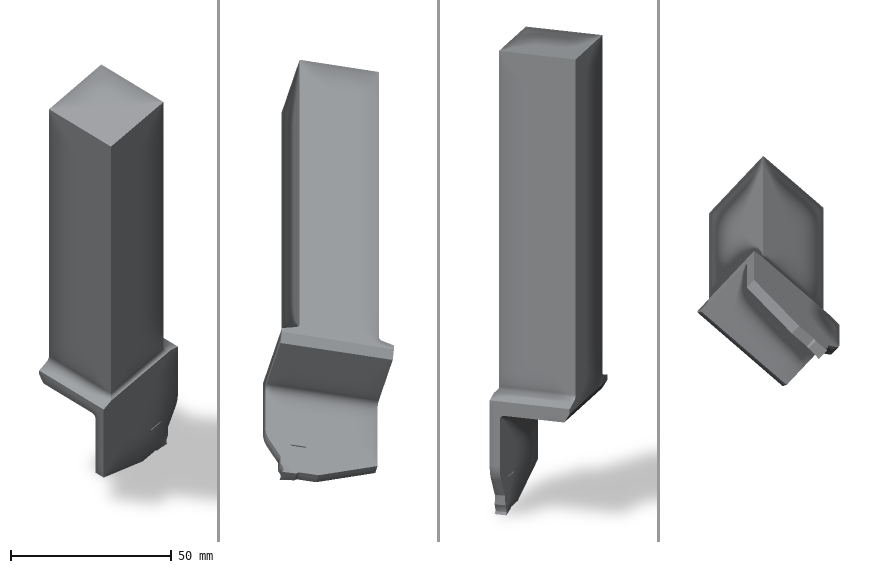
import cadquery as cq
import math


overall_x = 26.69
overall_length = 152.4
head_width = 35.9
half_head = head_width / 2

shank_size = 25.4
shank_back_y = 12.25
shank_front_y = shank_back_y - shank_size
flank_taper = 0.13

flange_bottom_z = 34.55
flange_edge_z = 39.15
roof_angle = math.radians(17)
root_radius = 1.65
chamfer_x = 1.85
chamfer_z = 3.12

inner_flare = 0.3
outer_flare = 0.22
head_x = overall_x - outer_flare
blade_thickness = 3.35
blade_x = head_x - blade_thickness
blade_bottom_z = 1.1
blade_flat_end_y = 1.0
blade_front_z = 8.7
blade_tip_y = 13.1
blade_tip_z = 6.6
blade_back_straight_z = 17.5
blade_back_round_mid = (17.65, 15.2)
blade_back_round_end = (16.9, 13.2)

insert_top_z = 11.8
insert_top_back_y = 9.8
insert_back_mid = (11.55, 9.2)
insert_back_end = (12.75, 6.2)
insert_corner_radius = 1.8
insert_front_top = (3.35, insert_top_z)
insert_front_bottom = (7.25, blade_bottom_z)
insert_heel = (7.95, 0.5)
insert_tip = (12.6, 0.0)
rake_root = (12.15, 0.9)
rake_mid = (12.4, 2.1)
rake_top = (blade_tip_y, 3.4)
seat_gap = 0.4
seat_gap_front_y = 5.0
flare_top_z = 4.07
flare_start = (9.87, 1.32)
flare_angle = math.radians(-33.5)


def root_arc(wall, outward, edge):
    """Start, middle and end (across, Z) of the fillet between a shank wall and the roof.

    The roof falls outward from the wall to the height flange_edge_z at `edge`.
    """
    roof_at_wall_z = flange_edge_z + abs(edge - wall) * math.tan(roof_angle)
    turn = math.pi / 2 - roof_angle
    start_z = roof_at_wall_z + root_radius * math.tan(turn / 2)

    def point(angle):
        across = wall + outward * root_radius * (1 - math.cos(angle))
        return (across, start_z - root_radius * math.sin(angle))

    return point(0), point(turn / 2), point(turn)


def side_profile():
    """Holder outline in Y and Z, extruded across the full width in X."""
    back_start, back_mid, back_end = root_arc(shank_back_y, 1, half_head)
    front_start, front_mid, front_end = root_arc(shank_front_y, -1, -half_head)
    return (
        cq.Workplane("YZ")
        .moveTo(shank_back_y, overall_length)
        .lineTo(*back_start)
        .threePointArc(back_mid, back_end)
        .lineTo(half_head, flange_edge_z)
        .lineTo(half_head, blade_back_straight_z)
        .threePointArc(blade_back_round_mid, blade_back_round_end)
        .lineTo(blade_tip_y, blade_tip_z)
        .lineTo(blade_tip_y, insert_back_end[1])
        .lineTo(*insert_front_bottom)
        .lineTo(blade_flat_end_y, blade_bottom_z)
        .lineTo(-half_head, blade_front_z)
        .lineTo(-half_head, flange_edge_z)
        .lineTo(*front_end)
        .threePointArc(front_mid, front_start)
        .lineTo(shank_front_y, overall_length)
        .close()
        .extrude(head_x)
    )


def front_profile():
    """Holder outline in X and Z, extruded across the full head width in Y."""
    front_arc = root_arc(shank_front_y, -1, -half_head)
    start, mid, end = [(shank_size + shank_front_y - y, z) for y, z in front_arc]
    inner_middle = root_radius * (1 - math.sqrt(0.5))
    return (
        cq.Workplane("XZ", origin=(0, half_head, 0))
        .moveTo(0, overall_length)
        .lineTo(shank_size, overall_length)
        .lineTo(*start)
        .threePointArc(mid, end)
        .lineTo(head_x, end[1])
        .lineTo(head_x, 0)
        .lineTo(blade_x, 0)
        .lineTo(blade_x, flange_bottom_z - root_radius)
        .threePointArc(
            (blade_x - inner_middle, flange_bottom_z - inner_middle),
            (blade_x - root_radius, flange_bottom_z),
        )
        .lineTo(chamfer_x, flange_bottom_z)
        .lineTo(0, flange_bottom_z + chamfer_z)
        .close()
        .extrude(head_width)
    )


def flank_wedge():
    """Thin wedge that leans the -X flank of the shank and flange."""
    return (
        cq.Workplane("XY")
        .polyline([(0, half_head), (flank_taper, -half_head), (0, -half_head)])
        .close()
        .extrude(overall_length)
    )


def insert_prism(start_x, end_x):
    """The insert outline in Y and Z, extruded from start_x to end_x."""
    slant = math.atan2(
        insert_front_top[1] - insert_front_bottom[1],
        insert_front_bottom[0] - insert_front_top[0],
    )
    setback = insert_corner_radius / math.tan(slant / 2)
    corner_y, corner_z = insert_front_top
    corner_end = (corner_y + setback * math.cos(slant), corner_z - setback * math.sin(slant))
    return (
        cq.Workplane("YZ", origin=(start_x, 0, 0))
        .moveTo(corner_y + setback, corner_z)
        .lineTo(insert_top_back_y, insert_top_z)
        .threePointArc(insert_back_mid, insert_back_end)
        .lineTo(blade_tip_y, insert_back_end[1])
        .lineTo(*rake_top)
        .threePointArc(rake_mid, rake_root)
        .lineTo(*insert_tip)
        .lineTo(*insert_heel)
        .lineTo(*insert_front_bottom)
        .lineTo(*corner_end)
        .tangentArcPoint((corner_y + setback, corner_z), relative=False)
        .close()
        .extrude(end_x - start_x)
    )


def flare_limit():
    """Block that widens evenly in X from the flare line to the cutting tip."""
    along_y, along_z = math.cos(flare_angle), math.sin(flare_angle)
    tip_distance = (insert_tip[0] - flare_start[0]) * along_y + (insert_tip[1] - flare_start[1]) * along_z
    section = cq.Plane(
        origin=(0, *flare_start),
        xDir=(0, along_y, along_z),
        normal=(0, along_z, -along_y),
    )
    side = section.yDir.x
    corners = [
        (0, side * blade_x),
        (tip_distance, side * (blade_x - inner_flare)),
        (tip_distance, side * (head_x + outer_flare)),
        (0, side * head_x),
    ]
    block = cq.Workplane(section).polyline(corners).close().extrude(head_width, both=True)
    below_top = cq.Workplane("XY").box(
        2 * overall_x, 2 * head_width, flare_top_z, centered=(True, True, False)
    )
    return block.intersect(below_top)


def seat_gap_slot():
    """Narrow clearance slot through the blade above the top of the insert."""
    return (
        cq.Workplane("XY", origin=(blade_x, seat_gap_front_y, insert_top_z))
        .box(blade_thickness, insert_top_back_y - seat_gap_front_y, seat_gap, centered=False)
    )


flared_tip = insert_prism(0, overall_x).intersect(flare_limit())
insert = insert_prism(blade_x, head_x).union(flared_tip)

holder = side_profile().intersect(front_profile()).cut(flank_wedge())
holder = holder.cut(insert_prism(blade_x, head_x)).cut(seat_gap_slot())
result = cq.Compound.makeCompound([holder.val(), insert.val()])